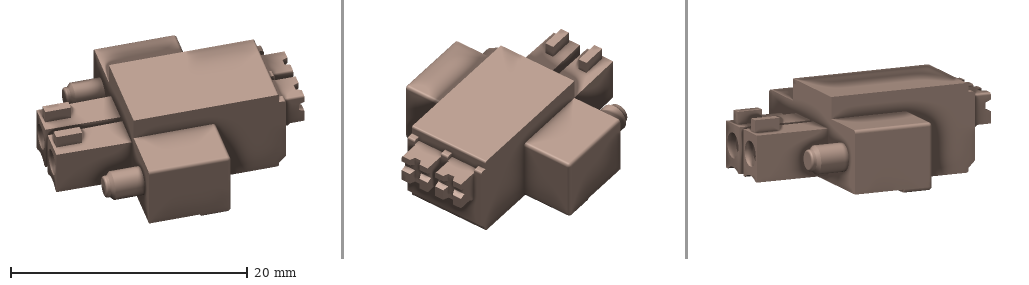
import cadquery as cq

OVERALL_LENGTH = 21.8
OVERLAP = 0.22

BODY_WIDTH = 7.72
BODY_HEIGHT = 7.8
BODY_LENGTH = 13.4
LEDGE_DEPTH = 0.6
LEDGE_DROP = 0.8
REAR_CHAMFER_TOP = 1.0
REAR_EDGE_RADIUS = 0.2

WING_SPAN = 17.3
WING_HEIGHT = 5.89
WING_LENGTH = 7.24
WING_RADIUS = 0.3
RELIEF_LENGTH = 4.6
RELIEF_HEIGHT = 0.33

AXIS_HEIGHT = 3.07
PIN_SPACING = 12.3
PIN_RADIUS = 1.25
PIN_LENGTH = 3.3
PIN_SHANK_LENGTH = 2.57
PIN_TIP_RADIUS = 0.94
PIN_TIP_FILLET = 0.2

POLE_PITCH = 3.49
POLE_CENTERS = (-POLE_PITCH / 2, POLE_PITCH / 2)
SOCKET_LENGTH = 6.58
SOCKET_ROOT_WIDTH = 2.92
SOCKET_END_WIDTH = 2.72
SOCKET_BOTTOM = 0.85
SOCKET_TOP = 4.93
BORE_MOUTH_RADIUS = 1.11
BORE_FLOOR_RADIUS = 1.05
BORE_DEPTH = 0.76
SCOOP_WIDTH = 2.1
SCOOP_HEIGHT = 0.35

KEY_WIDTH = 0.8
KEY_LENGTH = 2.27
KEY_TOP = 6.04
KEY_SETBACK = 0.26

POCKET_WIDTH = 2.77
LUG_WIDTH = 2.72
LUG_OFFSET = 0.05
LUG_REAR = OVERALL_LENGTH - SOCKET_LENGTH
LUG_TOP = 6.56
LUG_BOTTOM = 3.88
LUG_FOOT_DROP = 0.2
LUG_FOOT_LENGTH = 0.33
LUG_EDGE_RADIUS = 0.2
NOTCH_DEPTH = 0.48
NOTCH_MOUTH = 1.0
NOTCH_FLOOR = 0.6
NOTCH_HEIGHT = 5.45


def box(x_range, y_range, z_range):
    """Axis-aligned block between the given limits."""
    size = [high - low for low, high in (x_range, y_range, z_range)]
    corner = (x_range[0], y_range[0], z_range[0])
    return cq.Workplane("XY").box(*size, centered=False).translate(corner)


def make_body():
    """Central block with a stepped top rear edge and a chamfered bottom rear edge."""
    step_y = BODY_LENGTH - LEDGE_DEPTH
    outline = [
        (0, 0),
        (step_y, 0),
        (step_y, REAR_CHAMFER_TOP - LEDGE_DEPTH),
        (BODY_LENGTH, REAR_CHAMFER_TOP),
        (BODY_LENGTH, BODY_HEIGHT - LEDGE_DROP),
        (step_y, BODY_HEIGHT - LEDGE_DROP),
        (step_y, BODY_HEIGHT),
        (0, BODY_HEIGHT),
    ]
    body = cq.Workplane("YZ").polyline(outline).close().extrude(BODY_WIDTH / 2, both=True)
    rounded_corners = (
        (step_y, 0),
        (BODY_LENGTH, BODY_HEIGHT - LEDGE_DROP),
        (step_y, BODY_HEIGHT),
    )
    for y, z in rounded_corners:
        edge = cq.selectors.NearestToPointSelector((0, y, z))
        body = body.edges(edge).fillet(REAR_EDGE_RADIUS)
    return body


def make_wings():
    """One block across the body, rounded on its outer and rear edges."""
    half_span = WING_SPAN / 2
    block = box((-half_span, half_span), (0, WING_LENGTH), (0, WING_HEIGHT))
    return block.edges("|Y or >Y").fillet(WING_RADIUS)


def make_pin(x):
    """Stepped round pin with a conical shoulder and a rounded tip."""
    shoulder_y = PIN_SHANK_LENGTH + PIN_RADIUS - PIN_TIP_RADIUS
    pin = (
        cq.Workplane("XY")
        .moveTo(0, OVERLAP)
        .lineTo(PIN_RADIUS, OVERLAP)
        .lineTo(PIN_RADIUS, -PIN_SHANK_LENGTH)
        .lineTo(PIN_TIP_RADIUS, -shoulder_y)
        .lineTo(PIN_TIP_RADIUS, -PIN_LENGTH)
        .lineTo(0, -PIN_LENGTH)
        .close()
        .revolve(360, (0, 0), (0, 1))
        .faces("<Y").edges().fillet(PIN_TIP_FILLET)
    )
    return pin.translate((x, 0, AXIS_HEIGHT))


def make_socket(x):
    """Tapered socket with a blind bore, a scooped underside and a coding key."""
    half_root = SOCKET_ROOT_WIDTH / 2
    half_end = SOCKET_END_WIDTH / 2
    socket = (
        cq.Workplane("XY")
        .workplane(offset=SOCKET_BOTTOM)
        .moveTo(-half_root, OVERLAP)
        .lineTo(-half_root, 0)
        .lineTo(-half_end, -SOCKET_LENGTH)
        .lineTo(half_end, -SOCKET_LENGTH)
        .lineTo(half_root, 0)
        .lineTo(half_root, OVERLAP)
        .close()
        .extrude(SOCKET_TOP - SOCKET_BOTTOM)
    )
    scoop = (
        cq.Workplane("XZ")
        .moveTo(-SCOOP_WIDTH / 2, SOCKET_BOTTOM)
        .threePointArc((0, SOCKET_BOTTOM + SCOOP_HEIGHT), (SCOOP_WIDTH / 2, SOCKET_BOTTOM))
        .close()
        .extrude(SOCKET_LENGTH)
    )
    bore = (
        cq.Workplane("XZ", origin=(0, -SOCKET_LENGTH, AXIS_HEIGHT))
        .circle(BORE_MOUTH_RADIUS)
        .workplane(offset=-BORE_DEPTH)
        .circle(BORE_FLOOR_RADIUS)
        .loft()
    )
    key_front = KEY_SETBACK - SOCKET_LENGTH
    key = box(
        (-KEY_WIDTH / 2, KEY_WIDTH / 2),
        (key_front, key_front + KEY_LENGTH),
        (SOCKET_TOP - OVERLAP, KEY_TOP),
    )
    return socket.cut(scoop).cut(bore).union(key).translate((x, 0, 0))


def make_notch(plane, center):
    """Trapezoidal notch through the rear end of a lug, in the given sketch plane."""
    floor_y = LUG_REAR - NOTCH_DEPTH
    outline = [
        (center - NOTCH_MOUTH / 2, LUG_REAR),
        (center - NOTCH_FLOOR / 2, floor_y),
        (center + NOTCH_FLOOR / 2, floor_y),
        (center + NOTCH_MOUTH / 2, LUG_REAR),
    ]
    if plane == "YZ":
        outline = [(y, z) for z, y in outline]
    return cq.Workplane(plane).polyline(outline).close().extrude(BODY_HEIGHT, both=True)


def make_lug(x):
    """Rear lug with crossed end notches, a small foot and one rounded top edge."""
    root_y = BODY_LENGTH - OVERLAP
    foot_y = BODY_LENGTH + LUG_FOOT_LENGTH
    foot_z = LUG_BOTTOM - LUG_FOOT_DROP
    outline = [
        (root_y, LUG_TOP),
        (LUG_REAR, LUG_TOP),
        (LUG_REAR, LUG_BOTTOM),
        (foot_y + LUG_FOOT_DROP, LUG_BOTTOM),
        (foot_y, foot_z),
        (root_y, foot_z),
    ]
    lug = cq.Workplane("YZ").polyline(outline).close().extrude(LUG_WIDTH / 2, both=True)
    lug = lug.edges(">X and >Z").fillet(LUG_EDGE_RADIUS)
    lug = lug.cut(make_notch("XY", 0)).cut(make_notch("YZ", NOTCH_HEIGHT))
    return lug.translate((x + LUG_OFFSET, 0, 0))


def make_pocket(x):
    """Open pocket in the rear ledge, level with the top of the lug."""
    return box(
        (x - POCKET_WIDTH / 2, x + POCKET_WIDTH / 2),
        (BODY_LENGTH - LEDGE_DEPTH, BODY_LENGTH),
        (LUG_TOP, BODY_HEIGHT),
    )


result = make_body().union(make_wings())

relief = box((-WING_SPAN / 2, WING_SPAN / 2), (0, RELIEF_LENGTH), (0, RELIEF_HEIGHT))
result = result.cut(relief)

for pin_x in (-PIN_SPACING / 2, PIN_SPACING / 2):
    result = result.union(make_pin(pin_x))

for pole_x in POLE_CENTERS:
    result = result.cut(make_pocket(pole_x))
    result = result.union(make_lug(pole_x))
    result = result.union(make_socket(pole_x))